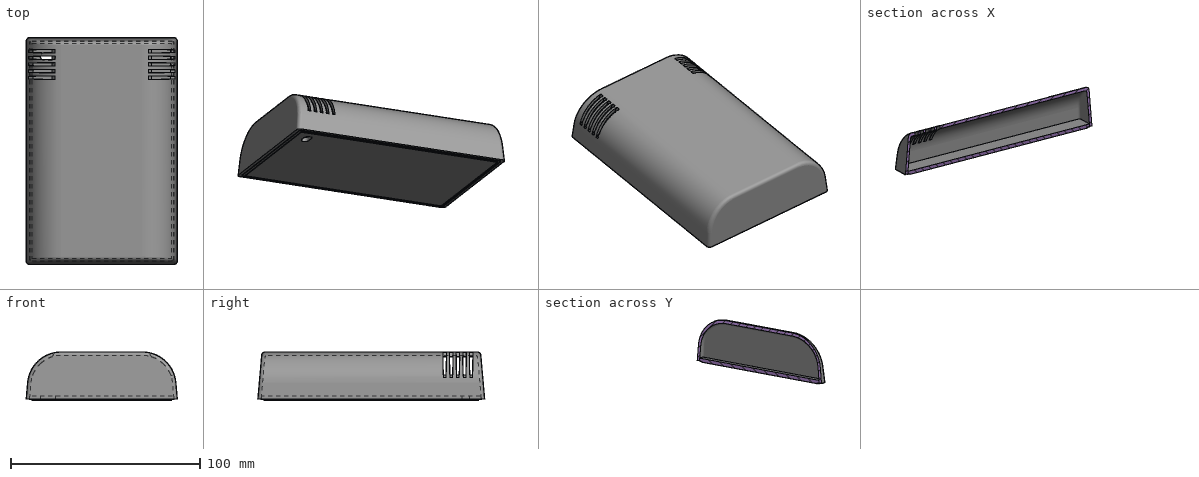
import cadquery as cq
import math

LENGTH = 120.0
WIDTH = 80.0
COVER_HEIGHT = 25.0
DRAFT = math.radians(5)
SHOULDER_RADIUS = 18.0
EDGE_RADIUS = 2.0
WALL = 1.8
INNER_EDGE_RADIUS = 1.2

BASE_THICKNESS = 2.0
BASE_DROP = 0.3
PAD_DEPTH = 0.3
PAD_INSET = 3.2

MOUNT_WIDTH = 4.0
MOUNT_LENGTH = 8.0
MOUNT_X = -28.4
MOUNT_Y = 50.0

VENT_COUNT = 5
VENT_PITCH = 3.5
VENT_CENTRE_Y = 45.8
VENT_LOW_WIDTH = 1.3
VENT_WIDENING = 0.085
VENT_TILT = math.radians(65)
VENT_TOP_X = 24.7
VENT_LOW_Z = 11.4
WEDGE_REACH = 12.0
VENT_SAG = 1.9


def drafted_body(inset, bottom, edge_radius):
    """Cover outline moved inwards by inset, reaching down to Z = bottom, with both ends rounded."""
    lean = math.tan(DRAFT)
    rim_inset = inset / math.cos(DRAFT)
    top = COVER_HEIGHT - inset
    radius = SHOULDER_RADIUS - inset

    def half_size(full_size, z):
        return full_size / 2 - rim_inset - z * lean

    centre_z = top - radius
    shoulder_x = half_size(WIDTH, centre_z) - radius / math.cos(DRAFT)
    side_x = shoulder_x + radius * math.cos(DRAFT)
    side_z = centre_z + radius * math.sin(DRAFT)
    mid_x = shoulder_x + radius * math.sin(math.pi / 4)
    mid_z = centre_z + radius * math.cos(math.pi / 4)
    foot_x = half_size(WIDTH, bottom)

    section = (
        cq.Workplane("XZ")
        .moveTo(-foot_x, bottom)
        .lineTo(foot_x, bottom)
        .lineTo(side_x, side_z)
        .threePointArc((mid_x, mid_z), (shoulder_x, top))
        .lineTo(-shoulder_x, top)
        .threePointArc((-mid_x, mid_z), (-side_x, side_z))
        .close()
        .extrude(LENGTH, both=True)
    )
    foot_y = half_size(LENGTH, bottom)
    top_y = half_size(LENGTH, top)
    profile = (
        cq.Workplane("YZ")
        .polyline([(-foot_y, bottom), (foot_y, bottom), (top_y, top), (-top_y, top)])
        .close()
        .extrude(WIDTH, both=True)
    )
    return section.intersect(profile).faces("<Y or >Y").edges("not <Z").fillet(edge_radius)


def outer_x_at(z):
    """X of the rounded shoulder's outer surface at height z."""
    centre_z = COVER_HEIGHT - SHOULDER_RADIUS
    centre_x = WIDTH / 2 - centre_z * math.tan(DRAFT) - SHOULDER_RADIUS / math.cos(DRAFT)
    return centre_x + math.sqrt(SHOULDER_RADIUS**2 - (z - centre_z) ** 2)


def vent(y):
    """Cutter for one vent on the +X shoulder: it widens outwards above a V-shaped floor."""
    low_x = outer_x_at(VENT_LOW_Z)
    centre_z = COVER_HEIGHT - SHOULDER_RADIUS
    centre_x = outer_x_at(centre_z) - SHOULDER_RADIUS
    high_z = centre_z + math.sqrt(SHOULDER_RADIUS**2 - (VENT_TOP_X - centre_x) ** 2)

    chord_x = low_x - VENT_TOP_X
    chord_z = high_z - VENT_LOW_Z
    chord = math.hypot(chord_x, chord_z)
    floor_mid = (
        (low_x + VENT_TOP_X) / 2 - VENT_SAG * chord_z / chord,
        (high_z + VENT_LOW_Z) / 2 - VENT_SAG * chord_x / chord,
    )
    reach = (
        cq.Workplane("XZ")
        .moveTo(low_x, VENT_LOW_Z)
        .lineTo(*floor_mid)
        .lineTo(VENT_TOP_X, high_z)
        .lineTo(VENT_TOP_X, COVER_HEIGHT)
        .lineTo(WIDTH / 2, COVER_HEIGHT)
        .lineTo(WIDTH / 2, VENT_LOW_Z)
        .close()
        .extrude(LENGTH, both=True)
    )

    wedge_plane = cq.Plane(
        origin=(low_x, y, VENT_LOW_Z),
        xDir=(0, 1, 0),
        normal=(math.sin(VENT_TILT), 0, -math.cos(VENT_TILT)),
    )
    low = (VENT_LOW_WIDTH - VENT_WIDENING * WEDGE_REACH) / 2
    high = (VENT_LOW_WIDTH + VENT_WIDENING * WEDGE_REACH) / 2
    wedge = (
        cq.Workplane(wedge_plane)
        .polyline([
            (-low, -WEDGE_REACH),
            (low, -WEDGE_REACH),
            (high, WEDGE_REACH),
            (-high, WEDGE_REACH),
        ])
        .close()
        .extrude(WIDTH, both=True)
    )
    return reach.intersect(wedge)


def make_cover():
    outside = drafted_body(0, 0, EDGE_RADIUS)
    shell = outside.cut(drafted_body(WALL, -BASE_DROP, INNER_EDGE_RADIUS))
    for index in range(VENT_COUNT):
        offset = index - (VENT_COUNT - 1) / 2
        cutter = vent(VENT_CENTRE_Y + offset * VENT_PITCH)
        shell = shell.cut(cutter).cut(cutter.mirror("YZ"))
    return shell


def make_base():
    slab = cq.Workplane("XY").workplane(offset=-BASE_DROP).box(
        WIDTH, LENGTH, BASE_THICKNESS, centered=(True, True, False)
    )
    plate = drafted_body(WALL, -BASE_DROP, INNER_EDGE_RADIUS).intersect(slab)
    pad = cq.Workplane("XY").workplane(offset=-BASE_DROP - PAD_DEPTH).box(
        WIDTH - 2 * PAD_INSET, LENGTH - 2 * PAD_INSET, PAD_DEPTH, centered=(True, True, False)
    )
    mount = (
        cq.Workplane("XY")
        .workplane(offset=-BASE_DROP - PAD_DEPTH)
        .center(MOUNT_X, MOUNT_Y)
        .slot2D(MOUNT_LENGTH, MOUNT_WIDTH)
        .extrude(PAD_DEPTH + BASE_THICKNESS)
    )
    return plate.union(pad).cut(mount)


cover = make_cover()
base = make_base()
result = cq.Compound.makeCompound([cover.val(), base.val()])